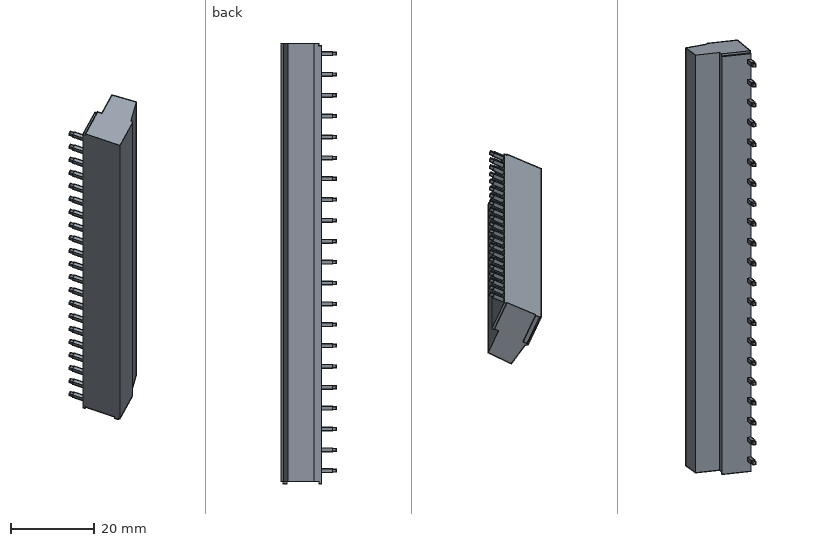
import cadquery as cq

total_width = 13.3
total_depth = 13.8
total_length = 105.6

housing_left = 4.2
upper_left = 5.4
upper_left_depth = 13.5
ledge_depth = 7.4
shoulder_depth = 7.7
shoulder_left = 12.7
slope_foot_depth = 8.2
slope_top = 11.6

tongue_height = 0.5
flange_left = 3.6
hook_left = 11.8
hook_right = 12.9

pin_count = 21
pin_row_length = 100.0
pin_pitch = pin_row_length / (pin_count - 1)
first_pin_height = 3.2
pin_size = 1.0
pin_tip_length = 1.0
pin_tip_size = 0.7
pin_embed = 0.5


def block(x_start, x_end, y_end, z_start, z_end):
    """Box standing on the Y = 0 face."""
    return cq.Workplane("XY").box(
        x_end - x_start, y_end, z_end - z_start, centered=False
    ).translate((x_start, 0, z_start))


def make_housing():
    """Stepped prism with a sloped upper right side and a slightly tilted top."""
    return (
        cq.Workplane("XY", origin=(0, 0, tongue_height))
        .moveTo(housing_left, 0)
        .lineTo(total_width, 0)
        .lineTo(total_width, shoulder_depth)
        .lineTo(shoulder_left, slope_foot_depth)
        .lineTo(slope_top, total_depth)
        .lineTo(upper_left, upper_left_depth)
        .lineTo(upper_left, ledge_depth)
        .lineTo(housing_left, ledge_depth)
        .close()
        .extrude(total_length - tongue_height)
    )


def make_pin(height):
    """Square pin with a narrower square tip, centred on the given Z."""
    shank_length = flange_left + pin_embed - pin_tip_length
    section_centre = (pin_tip_length, pin_size / 2, height)
    shank = (
        cq.Workplane("YZ", origin=section_centre)
        .rect(pin_size, pin_size)
        .extrude(shank_length)
    )
    tip = (
        cq.Workplane("YZ", origin=section_centre)
        .rect(pin_tip_size, pin_tip_size)
        .extrude(-pin_tip_length)
    )
    return shank.union(tip)


result = make_housing()
flange_top = total_length - tongue_height
result = result.union(block(flange_left, housing_left, ledge_depth, 0, flange_top))
result = result.union(block(hook_left, hook_right, ledge_depth, 0, tongue_height))
for index in range(pin_count):
    result = result.union(make_pin(first_pin_height + index * pin_pitch))